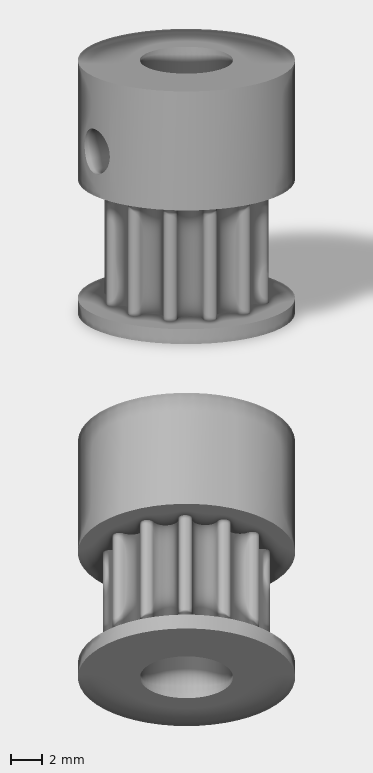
import cadquery as cq
import math

total_height = 17.0
outer_diameter = 14.0
bore_diameter = 6.0
flange_thickness = 1.0
hub_height = 8.0
hub_bottom = total_height - hub_height

tooth_count = 12
tooth_circle_radius = 4.95
tooth_radius = 0.45
half_pitch = math.pi / tooth_count
center_spacing = 2 * tooth_circle_radius * math.sin(half_pitch / 2)
groove_radius = center_spacing - tooth_radius

screw_diameter = 3.0
screw_height = 12.0


def polar(radius, angle):
    return (radius * math.cos(angle), radius * math.sin(angle))


def tangent_point(tooth_angle, groove_angle):
    """Point where a tooth arc meets the neighbouring groove arc."""
    tooth_x, tooth_y = polar(tooth_circle_radius, tooth_angle)
    groove_x, groove_y = polar(tooth_circle_radius, groove_angle)
    share = tooth_radius / center_spacing
    return (
        tooth_x + share * (groove_x - tooth_x),
        tooth_y + share * (groove_y - tooth_y),
    )


def make_toothed_section():
    outline = cq.Workplane("XY").workplane(offset=flange_thickness)
    outline = outline.moveTo(*tangent_point(-half_pitch, 0))
    for index in range(tooth_count):
        groove_angle = 2 * half_pitch * index
        tooth_angle = groove_angle + half_pitch
        next_groove_angle = tooth_angle + half_pitch
        outline = outline.threePointArc(
            polar(tooth_circle_radius - groove_radius, groove_angle),
            tangent_point(tooth_angle, groove_angle),
        )
        outline = outline.threePointArc(
            polar(tooth_circle_radius + tooth_radius, tooth_angle),
            tangent_point(tooth_angle, next_groove_angle),
        )
    return outline.close().extrude(hub_bottom - flange_thickness)


def make_disc(bottom, height):
    return cq.Workplane("XY").workplane(offset=bottom).circle(outer_diameter / 2).extrude(height)


def make_screw_hole():
    return (
        cq.Workplane("XZ")
        .center(0, screw_height)
        .circle(screw_diameter / 2)
        .extrude(outer_diameter)
    )


bore = cq.Workplane("XY").circle(bore_diameter / 2).extrude(total_height)
flange = make_disc(0, flange_thickness)
hub = make_disc(hub_bottom, hub_height)

result = flange.union(make_toothed_section()).union(hub).cut(bore).cut(make_screw_hole())